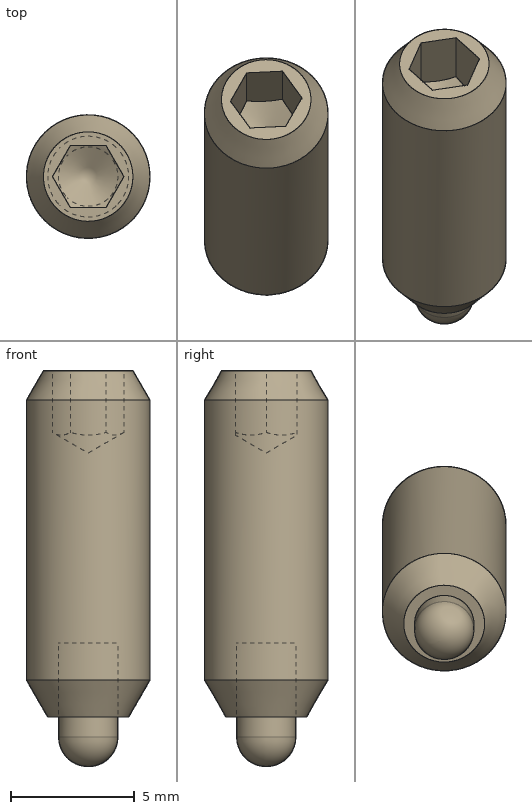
import cadquery as cq
import math


housing_diameter = 5.0
housing_length = 14.0
taper_half_angle = 30.0
top_taper_length = 1.2
nose_taper_length = 1.5

hex_across_flats = 2.5
socket_wall_depth = 2.5
drill_half_angle = 60.0

pin_diameter = 2.4
pin_projection = 2.0
pin_seat_depth = 3.0

taper_slope = math.tan(math.radians(taper_half_angle))
housing_radius = housing_diameter / 2
top_radius = housing_radius - top_taper_length * taper_slope
nose_radius = housing_radius - nose_taper_length * taper_slope
hex_across_corners = hex_across_flats / math.cos(math.pi / 6)
hex_corner_radius = hex_across_corners / 2
drill_point_depth = hex_corner_radius / math.tan(math.radians(drill_half_angle))
pin_radius = pin_diameter / 2


def make_hex_socket():
    """Hexagonal prism with corners on the X axis, ending in a drill point."""
    socket_depth = socket_wall_depth + drill_point_depth
    hexagon = (
        cq.Workplane("XY")
        .workplane(offset=housing_length - socket_depth)
        .polygon(6, hex_across_corners)
        .extrude(socket_depth)
    )
    drilled_hole = (
        cq.Workplane("XZ")
        .moveTo(0, housing_length - socket_depth)
        .lineTo(hex_corner_radius, housing_length - socket_wall_depth)
        .lineTo(hex_corner_radius, housing_length)
        .lineTo(0, housing_length)
        .close()
        .revolve(360, (0, 0), (0, 1))
    )
    return hexagon.intersect(drilled_hole)


def make_housing():
    """Cylinder tapered at both ends, with a hex socket above and a blind bore below."""
    blank = (
        cq.Workplane("XZ")
        .lineTo(nose_radius, 0)
        .lineTo(housing_radius, nose_taper_length)
        .lineTo(housing_radius, housing_length - top_taper_length)
        .lineTo(top_radius, housing_length)
        .lineTo(0, housing_length)
        .close()
        .revolve(360, (0, 0), (0, 1))
    )
    pin_bore = cq.Workplane("XY").circle(pin_radius).extrude(pin_seat_depth)
    return blank.cut(pin_bore).cut(make_hex_socket())


def make_pin():
    """Straight pin with a hemispherical tip, filling the housing's bore."""
    tip_z = -pin_projection
    tip_center_z = tip_z + pin_radius
    arc_offset = pin_radius * math.sqrt(0.5)
    return (
        cq.Workplane("XZ")
        .moveTo(0, tip_z)
        .threePointArc((arc_offset, tip_center_z - arc_offset), (pin_radius, tip_center_z))
        .lineTo(pin_radius, pin_seat_depth)
        .lineTo(0, pin_seat_depth)
        .close()
        .revolve(360, (0, 0), (0, 1))
    )


housing = make_housing()
pin = make_pin()

result = cq.Compound.makeCompound([housing.solids().val(), pin.val()])